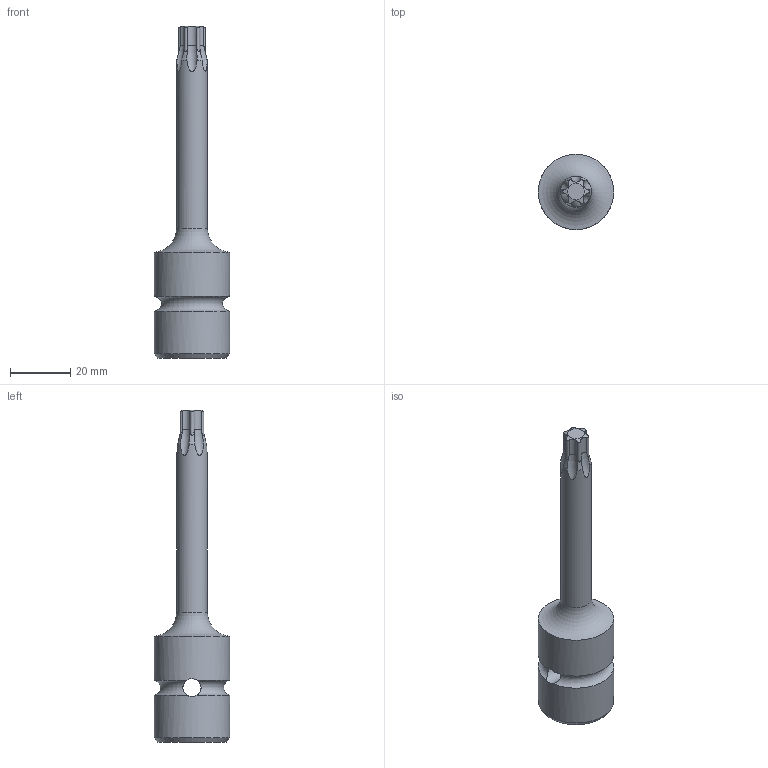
import cadquery as cq
import math

TOTAL_LENGTH = 110.0

BODY_RADIUS = 12.5
BODY_TOP_Z = 35.0
BASE_CHAMFER_RADIAL = 1.0
BASE_CHAMFER_HEIGHT = 1.4

SHANK_RADIUS = 5.1
SHOULDER_RADIUS = 8.0

GROOVE_Z = 18.0
GROOVE_ARC_RADIUS = 2.5
GROOVE_DEPTH = 2.0
PIN_HOLE_DIAMETER = 6.0

LOBE_COUNT = 6
LOBE_TIP_RADIUS = 4.43
FLUTE_ROOT_RADIUS = 3.1
FLUTE_RADIUS = 1.9
BIT_FACE_RADIUS = 2.8
BIT_CHAMFER_HEIGHT = 0.5

BIT_LENGTH = 6.3
BIT_STRAIGHT_Z = TOTAL_LENGTH - BIT_LENGTH
CONE_TOP_RADIUS = 3.9
CONE_BASE_Z = 98.7
FLUTE_END_Z = 94.9

LOBE_PITCH = 360.0 / LOBE_COUNT
FLUTE_AXIS_RADIUS = FLUTE_ROOT_RADIUS + FLUTE_RADIUS

CLEARANCE = 1.0
SWEEP_OVERRUN = 1.25


def revolved(profile):
    """Close a radius-height profile and turn it about Z."""
    return profile.close().revolve(360, (0, 0, 0), (0, 1, 0))


def turned_blank():
    """Body, shoulder, shank and run-out cone, turned about Z."""
    center_r = SHANK_RADIUS + SHOULDER_RADIUS
    rim_angle = math.acos((center_r - BODY_RADIUS) / SHOULDER_RADIUS)
    shoulder_top_z = BODY_TOP_Z + SHOULDER_RADIUS * math.sin(rim_angle)
    mid_r = center_r - SHOULDER_RADIUS * math.cos(rim_angle / 2)
    mid_z = shoulder_top_z - SHOULDER_RADIUS * math.sin(rim_angle / 2)
    return revolved(
        cq.Workplane("XZ")
        .lineTo(BODY_RADIUS - BASE_CHAMFER_RADIAL, 0)
        .lineTo(BODY_RADIUS, BASE_CHAMFER_HEIGHT)
        .lineTo(BODY_RADIUS, BODY_TOP_Z)
        .threePointArc((mid_r, mid_z), (SHANK_RADIUS, shoulder_top_z))
        .lineTo(SHANK_RADIUS, CONE_BASE_Z)
        .lineTo(CONE_TOP_RADIUS, BIT_STRAIGHT_Z)
        .lineTo(0, BIT_STRAIGHT_Z)
    )


def flute_cutter():
    """Round cutter that runs straight down one flute and then curves out of the shank."""
    top_z = TOTAL_LENGTH + CLEARANCE
    rise = SHANK_RADIUS - FLUTE_ROOT_RADIUS
    run = BIT_STRAIGHT_Z - FLUTE_END_Z
    root_arc_radius = (rise**2 + run**2) / (2 * rise)
    axis_arc_radius = root_arc_radius - FLUTE_RADIUS
    sweep = math.asin(run / root_arc_radius) * SWEEP_OVERRUN

    def arc_point(angle):
        r = FLUTE_AXIS_RADIUS + axis_arc_radius * (1 - math.cos(angle))
        return r, BIT_STRAIGHT_Z - axis_arc_radius * math.sin(angle)

    path = (
        cq.Workplane("XZ")
        .moveTo(FLUTE_AXIS_RADIUS, top_z)
        .lineTo(FLUTE_AXIS_RADIUS, BIT_STRAIGHT_Z)
        .threePointArc(arc_point(sweep / 2), arc_point(sweep))
    )
    return (
        cq.Workplane("XY", origin=(FLUTE_AXIS_RADIUS, 0, top_z))
        .circle(FLUTE_RADIUS)
        .sweep(path)
    )


def polar(radius, degrees):
    """XY point at a radius and an angle."""
    angle = math.radians(degrees)
    return radius * math.cos(angle), radius * math.sin(angle)


def six_lobe_bit():
    """Six-lobe prism: rounded lobe tips tangent to the concave flutes, chamfered at the end face."""
    half_pitch = LOBE_PITCH / 2
    cos_half = math.cos(math.radians(half_pitch))
    d = FLUTE_AXIS_RADIUS
    tip = LOBE_TIP_RADIUS
    tip_round = (d**2 + tip**2 - 2 * d * tip * cos_half - FLUTE_RADIUS**2) / (
        2 * (FLUTE_RADIUS + tip - d * cos_half)
    )
    tip_center_r = tip - tip_round
    flute_x, flute_y = polar(FLUTE_AXIS_RADIUS, half_pitch)
    share = tip_round / (tip_round + FLUTE_RADIUS)
    tangent_x = tip_center_r + share * (flute_x - tip_center_r)
    tangent_y = share * flute_y
    tangent_r = math.hypot(tangent_x, tangent_y)
    tangent_angle = math.degrees(math.atan2(tangent_y, tangent_x))

    outline = cq.Workplane("XY", origin=(0, 0, CONE_BASE_Z))
    outline = outline.moveTo(*polar(tangent_r, -tangent_angle))
    for i in range(LOBE_COUNT):
        lobe = i * LOBE_PITCH
        lobe_end = polar(tangent_r, lobe + tangent_angle)
        flute_end = polar(tangent_r, lobe + LOBE_PITCH - tangent_angle)
        outline = outline.threePointArc(polar(tip, lobe), lobe_end)
        outline = outline.threePointArc(polar(FLUTE_ROOT_RADIUS, lobe + half_pitch), flute_end)
    prism = outline.close().extrude(TOTAL_LENGTH - CONE_BASE_Z)

    envelope = revolved(
        cq.Workplane("XZ")
        .moveTo(0, CONE_BASE_Z)
        .lineTo(LOBE_TIP_RADIUS, CONE_BASE_Z)
        .lineTo(LOBE_TIP_RADIUS, TOTAL_LENGTH - BIT_CHAMFER_HEIGHT)
        .lineTo(BIT_FACE_RADIUS, TOTAL_LENGTH)
        .lineTo(0, TOTAL_LENGTH)
    )
    return prism.intersect(envelope)


def ring_groove():
    """Ring of round section around the body."""
    section_r = BODY_RADIUS - GROOVE_DEPTH + GROOVE_ARC_RADIUS
    return (
        cq.Workplane("XZ")
        .center(section_r, GROOVE_Z)
        .circle(GROOVE_ARC_RADIUS)
        .revolve(360, (-section_r, 0, 0), (-section_r, 1, 0))
    )


def pin_hole():
    """Hole along X, right through the body at the groove."""
    return (
        cq.Workplane("YZ")
        .center(0, GROOVE_Z)
        .circle(PIN_HOLE_DIAMETER / 2)
        .extrude(BODY_RADIUS + CLEARANCE, both=True)
    )


part = turned_blank()
cutter = flute_cutter()
for i in range(LOBE_COUNT):
    flute_angle = (i + 0.5) * LOBE_PITCH
    part = part.cut(cutter.rotate((0, 0, 0), (0, 0, 1), flute_angle))
part = part.union(six_lobe_bit())
part = part.cut(ring_groove())
result = part.cut(pin_hole())